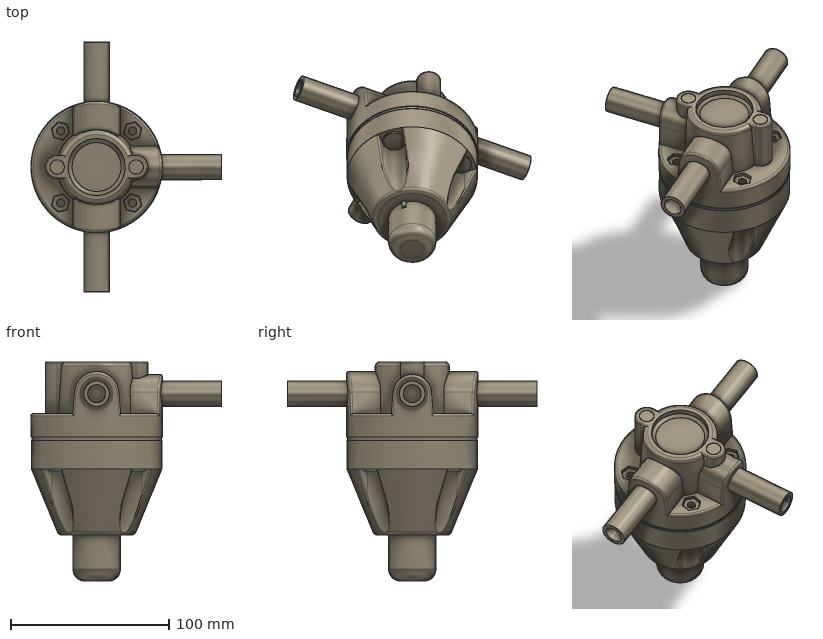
import cadquery as cq
import math

cone_bottom_z = 29.0
cone_top_z = 71.0
seam_bottom_z = 89.0
flange_bottom_z = 91.0
flange_top_z = 106.0
port_z = 118.5
top_z = 138.5

tolerance = 0.02

spigot_radius = 15.0
spigot_fillet = 7.6
pin_radius = 1.5
pin_length = 5.2
pin_angle = 135

bowl_radius = 41.2
seam_radius = 41.1
cone_bottom_radius = 24.0
cone_fillet = 3.6

bolt_circle_radius = 32.2
bolt_angles = [45, 135, 225, 315]
groove_radius = 7.9
groove_edge_fillet = 1.0
bolt_head_radius = 7.1
bolt_head_height = 1.5
nut_sides = 6
nut_pocket_corner_radius = 6.0
nut_pocket_depth = 1.9
nut_pocket_taper = 8
bolt_hole_radius = 2.5
bolt_hole_depth = 9.5

flange_radius = 41.5
rim_fillet = 1.6
draft_angle = 5
y_arm_radius = 14.0
x_arm_radius = 12.2

ports = [(x_arm_radius, 0), (y_arm_radius, 90), (y_arm_radius, 270)]

tube_reach = 79.0
tube_radius = 8.0
tube_bore_radius = 5.7

tower_top_radius = 23.2
tower_base_radius = 25.3
tower_fillet = 2.8
recess_radius = 18.0
recess_depth = 4.6
recess_floor_radius = 15.5
recess_slope_height = 1.0

ear_offset = 25.0
ear_radius = 7.5
ear_fillet = 1.0
ear_mark_radius = 4.6
ear_mark_depth = 0.2


def cylinder(radius, bottom_z, top):
    return cq.Workplane("XY").workplane(offset=bottom_z).circle(radius).extrude(top - bottom_z)


def at_bolt(shape, angle):
    """Move a shape from the axis to the bolt position at the given angle."""
    return shape.translate((bolt_circle_radius, 0, 0)).rotate((0, 0, 0), (0, 0, 1), angle)


def make_spigot():
    spigot = cylinder(spigot_radius, 0, cone_bottom_z).faces("<Z").edges().fillet(spigot_fillet)
    pin = cylinder(pin_radius, cone_bottom_z - pin_length, cone_bottom_z)
    pin = pin.translate((spigot_radius, 0, 0)).rotate((0, 0, 0), (0, 0, 1), pin_angle)
    return spigot.union(pin)


def make_groove():
    """Round-bottomed slot, open outwards, that clears one bolt head."""
    height = cone_top_z - cone_bottom_z
    slot = cq.Workplane("XY").box(bowl_radius, 2 * groove_radius, height, centered=(False, True, False))
    slot = slot.translate((0, 0, cone_bottom_z))
    return slot.union(cylinder(groove_radius, cone_bottom_z, cone_top_z))


def round_groove_edges(cone):
    """Round the edges where the grooves break through the conical surface."""
    slope = (bowl_radius - cone_bottom_radius) / (cone_top_z - cone_bottom_z)

    def on_groove(edge):
        middle = edge.positionAt(0.5)
        cone_radius = cone_bottom_radius + slope * (middle.z - cone_bottom_z)
        on_cone = abs(math.hypot(middle.x, middle.y) - cone_radius) < tolerance
        between_rims = cone_bottom_z + cone_fillet + tolerance < middle.z < cone_top_z - tolerance
        on_cone_seam = abs(middle.y) < tolerance
        return on_cone and between_rims and not on_cone_seam

    groove_edges = [edge for edge in cone.edges().vals() if on_groove(edge)]
    return cone.newObject(groove_edges).fillet(groove_edge_fillet)


def make_bowl():
    cone = (
        cq.Workplane("XZ")
        .moveTo(0, cone_bottom_z)
        .lineTo(cone_bottom_radius, cone_bottom_z)
        .lineTo(bowl_radius, cone_top_z)
        .lineTo(0, cone_top_z)
        .close()
        .revolve(360, (0, 0, 0), (0, 1, 0))
    )
    cone = cone.faces("<Z").edges().fillet(cone_fillet)
    for angle in bolt_angles:
        cone = cone.cut(at_bolt(make_groove(), angle))
    cone = round_groove_edges(cone)
    head = cylinder(bolt_head_radius, cone_top_z - bolt_head_height, cone_top_z)
    for angle in bolt_angles:
        cone = cone.union(at_bolt(head, angle))
    wall = cylinder(bowl_radius, cone_top_z, seam_bottom_z)
    seam = cylinder(seam_radius, seam_bottom_z, flange_bottom_z)
    return cone.union(wall).union(seam)


def make_arm(radius, angle):
    """Round-topped arm with drafted sides, running outwards from the axis."""
    draft = math.radians(draft_angle)
    shoulder_y = radius * math.cos(draft)
    shoulder_z = port_z + radius * math.sin(draft)
    foot_y = shoulder_y + (shoulder_z - flange_bottom_z) * math.tan(draft)
    arm = (
        cq.Workplane("YZ")
        .moveTo(-foot_y, flange_bottom_z)
        .lineTo(-shoulder_y, shoulder_z)
        .threePointArc((0, port_z + radius), (shoulder_y, shoulder_z))
        .lineTo(foot_y, flange_bottom_z)
        .close()
        .extrude(2 * flange_radius)
    )
    return arm.rotate((0, 0, 0), (0, 0, 1), angle)


def make_flange():
    flange = cylinder(2 * flange_radius, flange_bottom_z, flange_top_z)
    for radius, angle in ports:
        flange = flange.union(make_arm(radius, angle))
    flange = flange.intersect(cylinder(flange_radius, flange_bottom_z, top_z))

    def on_top_outline(edge):
        above_bottom = edge.BoundingBox().zmin > flange_top_z - tolerance
        points = [edge.positionAt(fraction) for fraction in (0, 0.5, 1)]
        return above_bottom and all(
            abs(math.hypot(point.x, point.y) - flange_radius) < tolerance for point in points
        )

    outline = [edge for edge in flange.edges().vals() if on_top_outline(edge)]
    return flange.newObject(outline).fillet(rim_fillet)


def make_recess():
    """Round recess whose wall meets the floor through a shallow sloping ring."""
    floor_z = top_z - recess_depth
    return (
        cq.Workplane("XZ")
        .moveTo(0, floor_z)
        .lineTo(recess_floor_radius, floor_z)
        .lineTo(recess_radius, floor_z + recess_slope_height)
        .lineTo(recess_radius, top_z)
        .lineTo(0, top_z)
        .close()
        .revolve(360, (0, 0, 0), (0, 1, 0))
    )


def make_tower():
    tower = (
        cq.Workplane("XZ")
        .moveTo(0, flange_bottom_z)
        .lineTo(tower_base_radius, flange_bottom_z)
        .lineTo(tower_base_radius, flange_top_z)
        .lineTo(tower_top_radius, top_z)
        .lineTo(0, top_z)
        .close()
        .revolve(360, (0, 0, 0), (0, 1, 0))
    )
    tower = tower.faces(">Z").edges().fillet(tower_fillet)
    ears = (
        cq.Workplane("XY")
        .workplane(offset=flange_bottom_z)
        .slot2D(2 * (ear_offset + ear_radius), 2 * ear_radius)
        .extrude(top_z - flange_bottom_z)
    )
    ears = ears.faces(">Z").edges().fillet(ear_fillet)
    tower = tower.union(ears).cut(make_recess())
    mark = cylinder(ear_mark_radius, top_z - ear_mark_depth, top_z)
    for side in (-1, 1):
        tower = tower.cut(mark.translate((side * ear_offset, 0, 0)))
    return tower


def make_rod(radius, start, angle):
    """Horizontal round rod at port height, from start out to the tube end."""
    section = cq.Workplane("YZ").workplane(offset=start).center(0, port_z).circle(radius)
    rod = section.extrude(tube_reach - start)
    return rod.rotate((0, 0, 0), (0, 0, 1), angle)


def make_nut_pocket():
    floor_z = flange_top_z - nut_pocket_depth
    hexagon = (
        cq.Workplane("XY")
        .workplane(offset=flange_top_z)
        .polygon(nut_sides, 2 * nut_pocket_corner_radius)
        .extrude(-nut_pocket_depth, taper=nut_pocket_taper)
        .rotate((0, 0, 0), (0, 0, 1), 180 / nut_sides)
    )
    return hexagon.union(cylinder(bolt_hole_radius, floor_z - bolt_hole_depth, floor_z))


result = make_spigot().union(make_bowl()).union(make_flange()).union(make_tower())
for _, direction in ports:
    result = result.union(make_rod(tube_radius, recess_radius, direction))
for _, direction in ports:
    result = result.cut(make_rod(tube_bore_radius, flange_radius, direction))
for bolt_angle in bolt_angles:
    result = result.cut(at_bolt(make_nut_pocket(), bolt_angle))